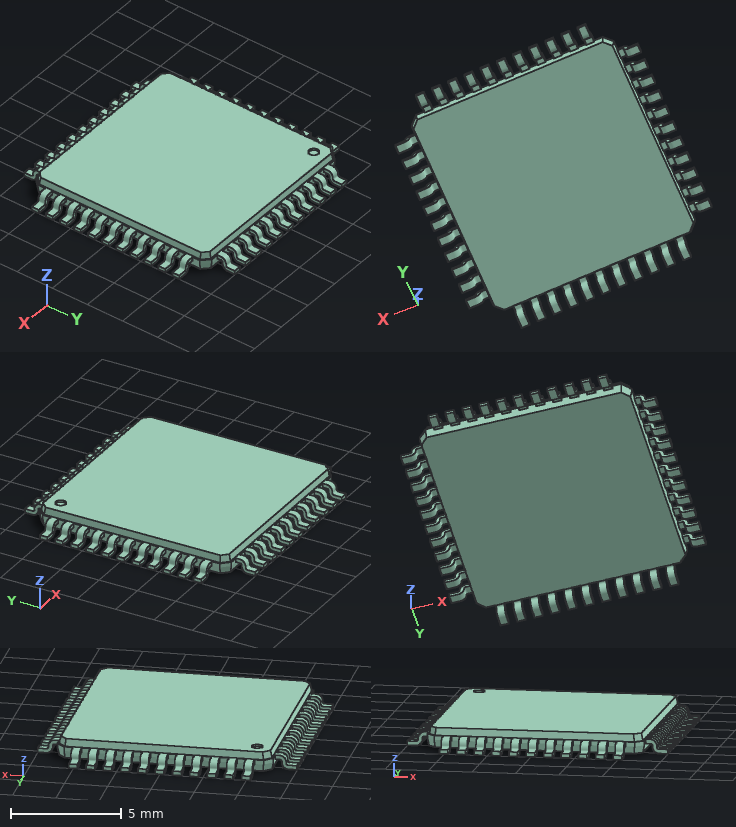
import cadquery as cq
import math


span = 12.0
total_height = 1.0
standoff = 0.1

leads_per_side = 11
lead_row_length = 8.0
lead_pitch = lead_row_length / (leads_per_side - 1)
lead_width = 0.4
lead_thickness = 0.2
shoulder_top = 0.65
riser_reach = 0.5
inner_bend = 0.1
outer_bend = inner_bend + lead_thickness
lead_embed = 0.24

body_width = 10.0
corner_chamfer = 0.38
draft_angle = 12.0
ledge_width = 0.07
band_bottom = shoulder_top - lead_thickness

mark_diameter = 0.5
mark_depth = 0.1
mark_offset = 4.15


def chamfered_square(width, chamfer, base_height):
    """Workplane at base_height holding a square outline with cut corners."""
    half = width / 2
    short = half - chamfer
    points = [
        (half, -short), (half, short), (short, half), (-short, half),
        (-half, short), (-half, -short), (-short, -half), (short, -half),
    ]
    return cq.Workplane("XY").workplane(offset=base_height).polyline(points).close()


def make_body():
    """Straight band level with the leads, with drafted halves above and below it."""
    upper_chamfer = corner_chamfer - ledge_width * (2 - math.sqrt(2))
    upper_width = body_width - 2 * ledge_width
    band = chamfered_square(body_width, corner_chamfer, band_bottom).extrude(lead_thickness)
    lower = chamfered_square(body_width, corner_chamfer, band_bottom).extrude(
        standoff - band_bottom, taper=draft_angle
    )
    upper = chamfered_square(upper_width, upper_chamfer, shoulder_top).extrude(
        total_height - shoulder_top, taper=draft_angle
    )
    return band.union(lower).union(upper)


def make_lead():
    """Gull-wing lead on the +X side, centred on Y = 0."""
    body_side = body_width / 2
    root = body_side - lead_embed
    tip = span / 2
    riser_outer = body_side + riser_reach
    riser_inner = riser_outer - lead_thickness
    shoulder_end = riser_inner - inner_bend
    foot_start = riser_outer + inner_bend
    upper_bend_z = shoulder_top - outer_bend
    lower_bend_z = outer_bend
    diagonal = math.sqrt(0.5)

    def bend_middle(centre_x, centre_z, radius, side):
        """Middle of a quarter bend; side is +1 for the upper bend, -1 for the lower."""
        return (centre_x + side * radius * diagonal, centre_z + side * radius * diagonal)

    profile = (
        cq.Workplane("XZ", origin=(0, lead_width / 2, 0))
        .moveTo(root, shoulder_top)
        .lineTo(shoulder_end, shoulder_top)
        .threePointArc(
            bend_middle(shoulder_end, upper_bend_z, outer_bend, 1), (riser_outer, upper_bend_z)
        )
        .lineTo(riser_outer, lower_bend_z)
        .threePointArc(
            bend_middle(foot_start, lower_bend_z, inner_bend, -1), (foot_start, lead_thickness)
        )
        .lineTo(tip, lead_thickness)
        .lineTo(tip, 0)
        .lineTo(foot_start, 0)
        .threePointArc(
            bend_middle(foot_start, lower_bend_z, outer_bend, -1), (riser_inner, lower_bend_z)
        )
        .lineTo(riser_inner, upper_bend_z)
        .threePointArc(
            bend_middle(shoulder_end, upper_bend_z, inner_bend, 1), (shoulder_end, band_bottom)
        )
        .lineTo(root, band_bottom)
        .close()
    )
    return profile.extrude(lead_width)


def place_leads():
    """All leads as a list of solids, one row on each side of the body."""
    lead = make_lead()
    leads = []
    for side_angle in (0, 90, 180, 270):
        for index in range(leads_per_side):
            offset = index * lead_pitch - lead_row_length / 2
            placed = lead.translate((0, offset, 0)).rotate((0, 0, 0), (0, 0, 1), side_angle)
            leads.append(placed.val())
    return leads


def make_pin_one_mark():
    """Shallow round recess in the top near the -X, +Y corner."""
    return (
        cq.Workplane("XY")
        .workplane(offset=total_height - mark_depth)
        .center(-mark_offset, mark_offset)
        .circle(mark_diameter / 2)
        .extrude(mark_depth)
    )


body = make_body().cut(make_pin_one_mark())
package = body.val().fuse(*place_leads()).clean()
result = cq.Workplane(package.Solids()[0])